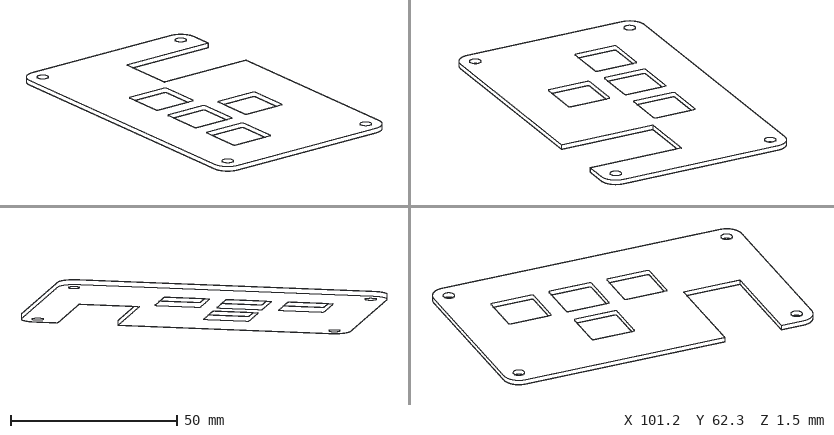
import cadquery as cq

plate_length = 101.2
plate_width = 62.3
plate_thickness = 1.5
corner_radius = 5.0

hole_diameter = 3.4
hole_spacing_x = plate_length - 2 * corner_radius
hole_spacing_y = plate_width - 2 * corner_radius

notch_left_x = -38.5
notch_width = 18.5
notch_depth = 31.0

key_size = 14.0
key_corner_radius = 0.5
key_pitch = 19.0
key_column_x = 10.2
upper_row_y = key_pitch / 2
lower_row_y = -key_pitch / 2
key_centers = [
    (key_column_x, upper_row_y),
    (key_column_x - key_pitch, lower_row_y),
    (key_column_x, lower_row_y),
    (key_column_x + key_pitch, lower_row_y),
]


def make_plate():
    """Flat plate with rounded corners, resting on Z = 0."""
    blank = cq.Workplane("XY").box(
        plate_length, plate_width, plate_thickness, centered=(True, True, False)
    )
    return blank.edges("|Z").fillet(corner_radius)


def make_mounting_holes():
    """One through-hole cylinder at each corner."""
    return (
        cq.Workplane("XY")
        .rect(hole_spacing_x, hole_spacing_y, forConstruction=True)
        .vertices()
        .circle(hole_diameter / 2)
        .extrude(plate_thickness)
    )


def make_notch():
    """Block that opens the notch in the +Y edge."""
    return (
        cq.Workplane("XY")
        .center(notch_left_x + notch_width / 2, plate_width / 2 - notch_depth / 2)
        .rect(notch_width, notch_depth)
        .extrude(plate_thickness)
    )


def make_key_cutouts():
    """Square through-cutouts with small corner radii."""
    return (
        cq.Workplane("XY")
        .pushPoints(key_centers)
        .rect(key_size, key_size)
        .extrude(plate_thickness)
        .edges("|Z")
        .fillet(key_corner_radius)
    )


result = make_plate().cut(make_mounting_holes()).cut(make_notch()).cut(make_key_cutouts())